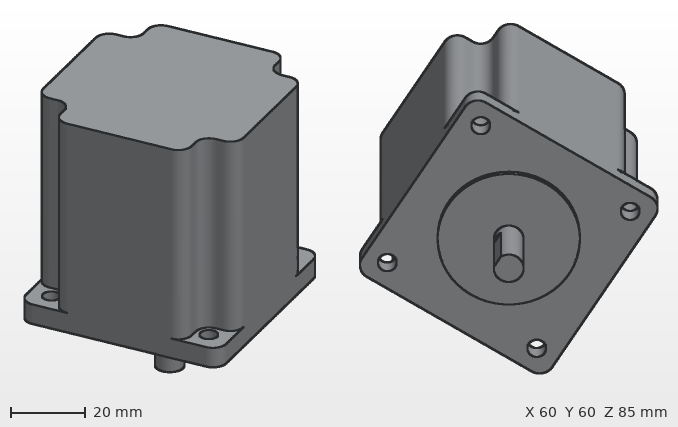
import cadquery as cq

side = 60.0
corner_radius = 4.0
flange_thickness = 6.0
motor_length = 64.0
relief_depth = 10.35
hole_pitch = 47.14
hole_diameter = 5.0
pilot_diameter = 38.1
pilot_height = 1.5
shaft_diameter = 8.0
shaft_reach = 21.0
flat_length = 16.0
flat_depth = 0.4


def make_flange():
    """Square mounting flange with rounded corners and four through holes."""
    plate = cq.Workplane("XY").rect(side, side).extrude(flange_thickness)
    plate = plate.edges("|Z").fillet(corner_radius)
    holes = (
        cq.Workplane("XY")
        .rect(hole_pitch, hole_pitch, forConstruction=True)
        .vertices()
        .circle(hole_diameter / 2)
        .extrude(flange_thickness)
    )
    return plate.cut(holes)


def make_body():
    """Cross-shaped motor body: corners relieved above the bolts, all bends rounded."""
    core_width = side - 2 * relief_depth
    body_length = motor_length - flange_thickness
    base = cq.Workplane("XY").workplane(offset=flange_thickness)
    along_x = base.rect(side, core_width).extrude(body_length)
    along_y = base.rect(core_width, side).extrude(body_length)
    return along_x.union(along_y).edges("|Z").fillet(corner_radius)


def make_pilot():
    """Round centring boss on the mounting face."""
    return cq.Workplane("XY").circle(pilot_diameter / 2).extrude(-pilot_height)


def make_shaft():
    """Output shaft with a shallow flat on its +Y side."""
    shaft_radius = shaft_diameter / 2
    shaft = cq.Workplane("XY").circle(shaft_radius).extrude(-shaft_reach)
    flat_cutter = (
        cq.Workplane("XY")
        .workplane(offset=-shaft_reach)
        .center(0, shaft_radius - flat_depth / 2)
        .rect(shaft_diameter, flat_depth)
        .extrude(flat_length)
    )
    return shaft.cut(flat_cutter)


result = make_flange().union(make_body()).union(make_pilot()).union(make_shaft())